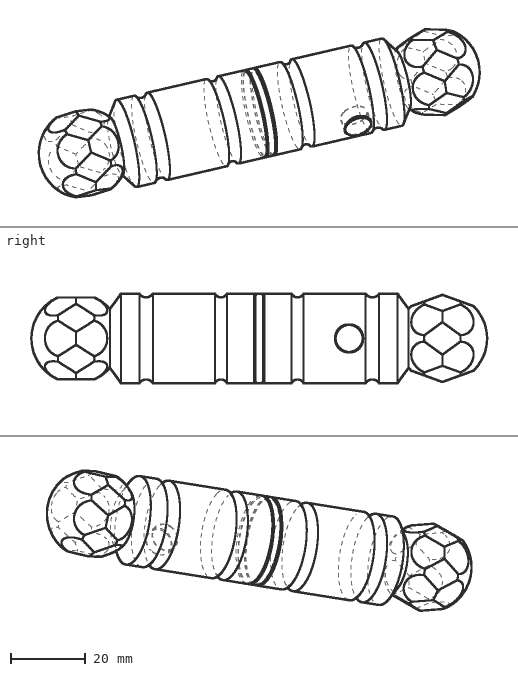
import cadquery as cq
import math

handle_diameter = 24.0
handle_radius = handle_diameter / 2
half_length = 60.9
ring_width = 2.0
rim_chamfer = 0.5
shoulder_y = 36.9
neck_radius = 7.9

inner_groove_y = 10.2
inner_groove_width = 3.3
outer_groove_y = 30.2
outer_groove_width = 3.7
groove_depth = 1.0

ball_radius = handle_radius
ball_center_y = half_length - ball_radius
facet_distance = 11.0
facet_count = 6
facet_step = 360 / facet_count
facet_tilt = 20.0

button_diameter = 7.2
button_clearance = 0.18
button_y = 24.0
button_length = 4.0


def facet_cutter(turn, tilt):
    """Block outside one facet plane: turned about Y from +Z, then tilted towards +Y."""
    size = 2 * ball_radius
    block = cq.Workplane("XY").box(size, size, size, centered=(True, True, False))
    block = block.translate((0, 0, facet_distance))
    block = block.rotate((0, 0, 0), (1, 0, 0), -tilt)
    return block.rotate((0, 0, 0), (0, 1, 0), turn)


def faceted_ball(first_turn):
    """Ball with a belt of diamond facets and a row of tilted facets on either side of it."""
    ball = cq.Workplane("XY").sphere(ball_radius)
    for i in range(facet_count):
        turn = first_turn + i * facet_step
        ball = ball.cut(facet_cutter(turn, 0))
        for tilt in (-facet_tilt, facet_tilt):
            ball = ball.cut(facet_cutter(turn + facet_step / 2, tilt))
    return ball.translate((0, ball_center_y, 0))


def groove_cutter(middle_y, width):
    """Ring of circular-segment section that cuts one grip groove."""
    return (
        cq.Workplane("XY")
        .moveTo(handle_radius, middle_y - width / 2)
        .threePointArc((handle_radius - groove_depth, middle_y), (handle_radius, middle_y + width / 2))
        .lineTo(handle_radius + groove_depth, middle_y + width / 2)
        .lineTo(handle_radius + groove_depth, middle_y - width / 2)
        .close()
        .revolve(360, (0, 0, 0), (0, 1, 0))
    )


def half_handle(first_turn):
    """Half of the handle on the +Y side, with its grooves, tapered shoulder and ball."""
    inner_end_y = ring_width / 2
    neck_y = ball_center_y - math.sqrt(ball_radius**2 - neck_radius**2)
    grip = (
        cq.Workplane("XY")
        .moveTo(0, inner_end_y)
        .lineTo(handle_radius - rim_chamfer, inner_end_y)
        .lineTo(handle_radius, inner_end_y + rim_chamfer)
        .lineTo(handle_radius, shoulder_y)
        .lineTo(neck_radius, neck_y)
        .lineTo(neck_radius, ball_center_y)
        .lineTo(0, ball_center_y)
        .close()
        .revolve(360, (0, 0, 0), (0, 1, 0))
    )
    grip = grip.cut(groove_cutter(inner_groove_y, inner_groove_width))
    grip = grip.cut(groove_cutter(outer_groove_y, outer_groove_width))
    return grip.union(faceted_ball(first_turn))


def button_cylinder(diameter):
    """Cylinder along X whose outer end is level with the handle's radius."""
    return (
        cq.Workplane("YZ", origin=(handle_radius - button_length, button_y, 0))
        .circle(diameter / 2)
        .extrude(button_length)
    )


back_half = half_handle(facet_step / 2).cut(button_cylinder(button_diameter + 2 * button_clearance))

front_half = half_handle(0).rotate((0, 0, 0), (0, 0, 1), 180)

middle_ring = cq.Workplane("XZ", origin=(0, ring_width / 2, 0)).circle(handle_radius).extrude(ring_width)

button = button_cylinder(button_diameter)

result = cq.Compound.makeCompound([back_half.val(), front_half.val(), middle_ring.val(), button.val()])